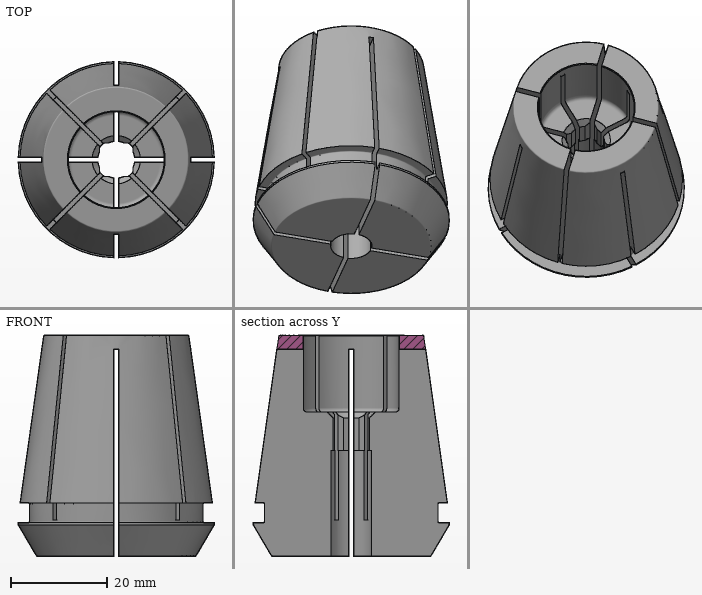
import cadquery as cq
import math

total_height = 46.0
flange_diameter = 40.8
flange_radius = flange_diameter / 2

base_radius = 16.55
base_edge_fillet = 0.28
rim_bottom = 6.55
flange_top = 7.0

groove_radius = 18.1
groove_fillet = 0.2

taper_bottom = 11.1
taper_bottom_radius = 20.0
taper_half_angle = 8.0
top_edge_fillet = 0.28

clamp_radius = 4.3
clamp_depth = 22.0
square_size = 6.9
square_relief_radius = 3.8
relief_floor = 30.0
relief_radius = 10.0
relief_floor_fillet = 0.85
relief_mouth_chamfer = 0.2
lead_in_radius = 5.0

slot_width = 0.95
base_slot_top = 43.0
top_slot_bottom = 7.5

cutter_radius = flange_radius + 0.45


def disc(radius, bottom, top):
    """Solid cylinder on the collet axis between two heights."""
    return cq.Workplane("XY", origin=(0, 0, bottom)).circle(radius).extrude(top - bottom)


def outer_body():
    """Revolved flange and taper with rounded base and top edges."""
    taper_height = total_height - taper_bottom
    top_radius = taper_bottom_radius - taper_height * math.tan(math.radians(taper_half_angle))
    profile = [
        (0, 0),
        (base_radius, 0),
        (flange_radius, rim_bottom),
        (flange_radius, flange_top),
        (taper_bottom_radius, taper_bottom),
        (top_radius, total_height),
        (0, total_height),
    ]
    body = cq.Workplane("XZ").polyline(profile).close().revolve(360, (0, 0, 0), (0, 1, 0))
    body = body.faces("<Z").edges().fillet(base_edge_fillet)
    return body.faces(">Z").edges().fillet(top_edge_fillet)


def groove():
    """Ring to remove between flange and taper, rounded at the groove bottom."""
    core = disc(groove_radius, flange_top, taper_bottom)
    ring = disc(cutter_radius, flange_top, taper_bottom).cut(core)
    return ring.edges(cq.selectors.RadiusNthSelector(0)).fillet(groove_fillet)


def bore():
    """Solid filling the stepped bore from the base to the top face."""
    square = (
        cq.Workplane("XY", origin=(0, 0, clamp_depth))
        .rect(square_size, square_size)
        .extrude(relief_floor - clamp_depth)
    )
    cone_tip = cq.Vector(0, 0, relief_floor - lead_in_radius)
    lead_in = cq.Workplane("XY").add(cq.Solid.makeCone(0, lead_in_radius, lead_in_radius, cone_tip))
    relief = disc(relief_radius, relief_floor, total_height).faces("<Z").edges().fillet(relief_floor_fillet)
    return (
        disc(clamp_radius, 0, clamp_depth)
        .union(square)
        .union(disc(square_relief_radius, clamp_depth, relief_floor))
        .union(lead_in)
        .union(relief)
    )


def slot_cross(angle, bottom, top):
    """Two crossing slots through the full diameter, turned about the axis."""
    floor = cq.Workplane("XY", origin=(0, 0, bottom))
    slot = floor.rect(2 * cutter_radius, slot_width).extrude(top - bottom)
    first = slot.rotate((0, 0, 0), (0, 0, 1), angle)
    second = slot.rotate((0, 0, 0), (0, 0, 1), angle + 90)
    return first.union(second)


result = (
    outer_body()
    .cut(groove())
    .cut(bore())
    .faces(">Z")
    .edges(cq.selectors.RadiusNthSelector(0))
    .chamfer(relief_mouth_chamfer)
    .cut(slot_cross(0, 0, base_slot_top))
    .cut(slot_cross(45, top_slot_bottom, total_height))
)